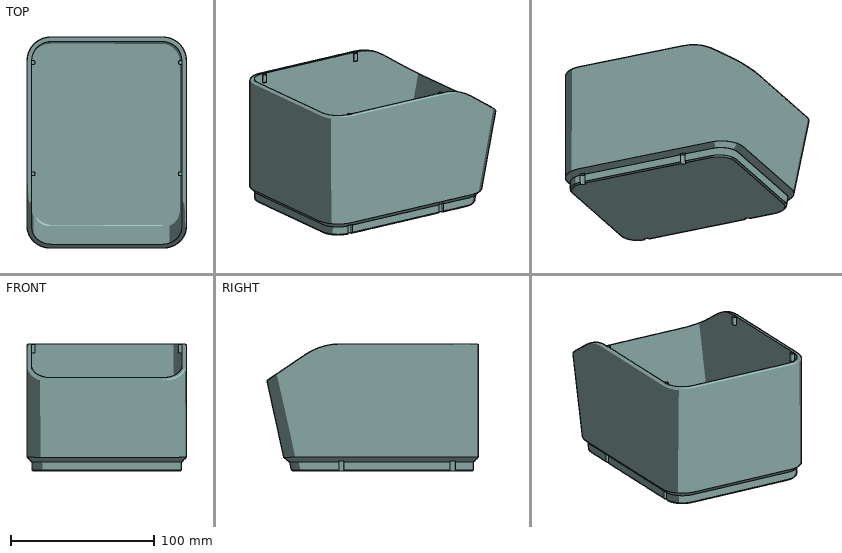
import cadquery as cq
import math

WIDTH = 111.56
LENGTH = 147.69
HEIGHT = 89.01

WALL = 3.3
CORNER_RADIUS = 16.8
FRONT_LEAN = math.radians(12.3)
FLOOR_TOP = 9.0
FLOOR_FILLET = 3.0
RIM_FILLET = 1.5

FOOT_INSET = 3.4
FOOT_HEIGHT = 6.4
FOOT_CHAMFER = 1.0

SCOOP_START_Y = 50.8
SCOOP_RADIUS = 42.0
SCOOP_ANGLE = math.radians(34.0)

RIB_PITCH = 77.8
REAR_RIB_FROM_BACK = 17.9
RIB_WIDTH = 2.6
RIB_DEPTH = 2.4
RIB_HEIGHT = 6.1
RIB_DROP = 0.3
SLOT_WIDTH = 3.6
SLOT_DEPTH = 2.5
SLOT_TOP = 7.0
TIP_RADIUS = 1.1

TRIM_ALLOWANCE = 5.0
BLOCK_TOP = HEIGHT + TRIM_ALLOWANCE

TIP_LOSS = RIM_FILLET * (
    (math.cos(SCOOP_ANGLE) + math.sin(FRONT_LEAN)) / math.cos(SCOOP_ANGLE - FRONT_LEAN) - 1
)
BACK_Y = LENGTH + TIP_LOSS

REAR_RIB_Y = BACK_Y - REAR_RIB_FROM_BACK
RIB_YS = (REAR_RIB_Y, REAR_RIB_Y - RIB_PITCH)


def scoop_point(angle):
    """Point (y, z) on the scoop arc where the rim has turned down by the given angle."""
    y = SCOOP_START_Y - SCOOP_RADIUS * math.sin(angle)
    z = HEIGHT - SCOOP_RADIUS * (1 - math.cos(angle))
    return y, z


def slope_z(y):
    """Height of the straight front slope at the given y."""
    start_y, start_z = scoop_point(SCOOP_ANGLE)
    return start_z - (start_y - y) * math.tan(SCOOP_ANGLE)


def front_y(z, inset):
    """Y of the leaning front wall at height z, moved inward by inset."""
    return (slope_z(0) - z) * math.tan(FRONT_LEAN) + inset / math.cos(FRONT_LEAN)


def leaning_block(inset, z_low, z_high):
    """Round-cornered block with a leaning front, inset evenly from the outer walls."""
    back_y = BACK_Y - inset
    outline = [
        (front_y(z_low, inset), z_low),
        (back_y, z_low),
        (back_y, z_high),
        (front_y(z_high, inset), z_high),
    ]
    half_width = WIDTH / 2 - inset
    block = cq.Workplane("YZ").polyline(outline).close().extrude(half_width, both=True)
    return block.edges("not(|X or |Y)").fillet(CORNER_RADIUS - inset)


def above_rim():
    """Space above the level rear rim, the arc and the front slope."""
    front_end = -LENGTH
    back_end = 2 * LENGTH
    top = 2 * HEIGHT
    return (
        cq.Workplane("YZ")
        .moveTo(back_end, HEIGHT)
        .lineTo(SCOOP_START_Y, HEIGHT)
        .threePointArc(scoop_point(SCOOP_ANGLE / 2), scoop_point(SCOOP_ANGLE))
        .lineTo(front_end, slope_z(front_end))
        .lineTo(front_end, top)
        .lineTo(back_end, top)
        .close()
        .extrude(WIDTH, both=True)
    )


def outer_solid():
    """Solid bin with its rounded rim, standing on the chamfered foot."""
    body = leaning_block(0, FOOT_HEIGHT, BLOCK_TOP)
    body = body.faces("<Z").chamfer(FOOT_INSET)
    body = body.cut(above_rim())
    body = body.edges(">Z").edges(">Y").fillet(RIM_FILLET)
    foot = leaning_block(FOOT_INSET, 0, FOOT_HEIGHT)
    foot = foot.faces("<Z").chamfer(FOOT_CHAMFER)
    return body.union(foot)


def cavity():
    """Inner space, with a fillet all round the floor."""
    space = leaning_block(WALL, FLOOR_TOP, BLOCK_TOP)
    return space.faces("<Z").edges().fillet(FLOOR_FILLET)


def bar(x_root, x_tip, y, width, z_low, z_high):
    """Upright rectangular bar reaching across X from x_root to x_tip, centred on y."""
    block = cq.Workplane("XY").box(abs(x_tip - x_root), width, z_high - z_low)
    return block.translate(((x_root + x_tip) / 2, y, (z_low + z_high) / 2))


def tip_face(side):
    """Selector of a bar's inward-facing end on the given side of the bin."""
    return "<X" if side > 0 else ">X"


def rib(side, y):
    """Rib inside the rim, rounded along both flanks and the bottom of its tip."""
    root = side * (WIDTH / 2 - WALL / 2)
    tip = side * (WIDTH / 2 - WALL - RIB_DEPTH)
    top = HEIGHT - RIB_DROP
    block = bar(root, tip, y, RIB_WIDTH, top - RIB_HEIGHT, top)
    return block.faces(tip_face(side)).edges("|Z or <Z").fillet(TIP_RADIUS)


def slot(side, y):
    """Cutter for a foot slot, rounded along its two inner edges."""
    root = side * WIDTH / 2
    tip = side * (WIDTH / 2 - FOOT_INSET - SLOT_DEPTH)
    block = bar(root, tip, y, SLOT_WIDTH, 0, SLOT_TOP)
    return block.faces(tip_face(side)).edges("|Z").fillet(TIP_RADIUS)


result = outer_solid().cut(cavity())
for side in (-1, 1):
    for y in RIB_YS:
        result = result.union(rib(side, y))
        result = result.cut(slot(side, y))